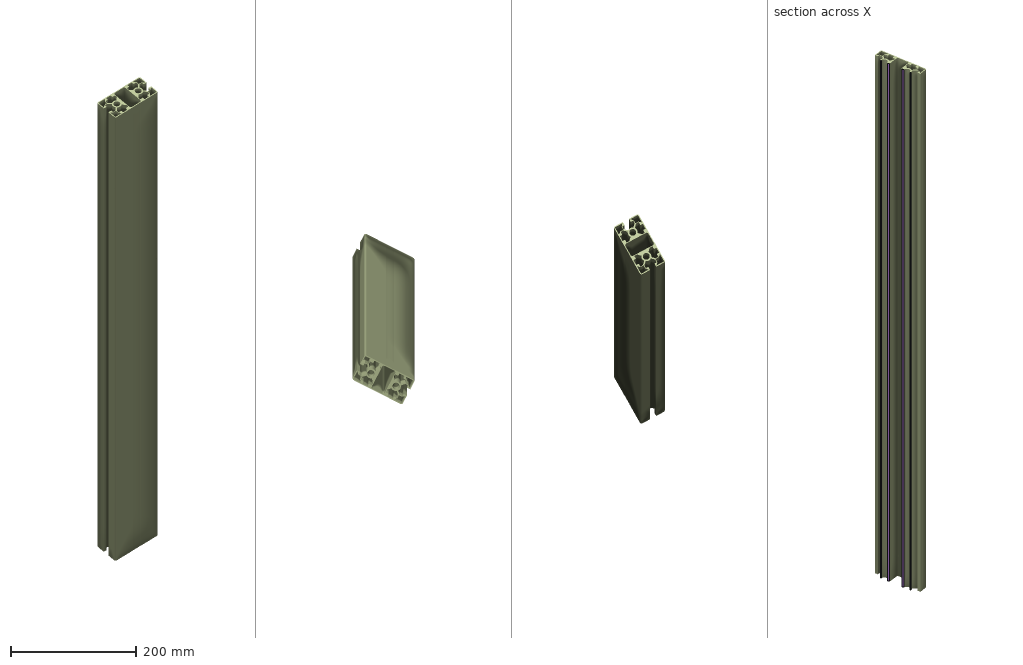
import cadquery as cq
import math

width = 45.0
depth = 90.0
length = 1000.0
corner_radius = 3.0

cell_offset = depth / 4
half_width = width / 2

outer_wall = 1.6
inner_wall = 1.0

core_radius = 8.0
bore_diameter = 11.0
arm_half_thickness = 1.2

slot_half = 10.0
mouth_half = 5.6
lip_thickness = 6.0

notch_half = 4.6

hollow_tip = 7.2

center_corner_radius = 3.0

band_half = 7.5
band_depth = 0.2


def prism(points):
    return cq.Workplane("XY").polyline(points).close().extrude(length)


def mirrored_across_y(points):
    """The points mirrored to -X, in reverse order."""
    return [(-x, y) for x, y in reversed(points)]


def mirrored_across_x(points):
    """The points mirrored to -Y, in reverse order."""
    return [(x, -y) for x, y in reversed(points)]


def end_slot():
    """T-slot open toward +Y, running in to the cell's centre before the core is left standing."""
    roof = half_width - lip_thickness
    half_outline = [
        (mouth_half, half_width),
        (mouth_half, roof),
        (slot_half, roof),
        (slot_half, slot_half),
    ]
    return prism(half_outline + [(0, 0)] + mirrored_across_y(half_outline))


def side_chamber():
    """Closed chamber on the +X side, with a notch in the middle of its outer wall."""
    wall = half_width - lip_thickness
    notch_floor = half_width - outer_wall
    half_outline = [
        (slot_half, slot_half),
        (wall, slot_half),
        (wall, notch_half),
        (notch_floor, notch_half),
    ]
    return prism(half_outline + mirrored_across_x(half_outline) + [(0, 0)])


def corner_hollow():
    """Hollow in the +X +Y corner, symmetric about the cell's diagonal."""
    near = slot_half + inner_wall
    far = half_width - outer_wall
    taper_start = half_width - lip_thickness
    return prism(
        [
            (near, near),
            (taper_start, near),
            (far, hollow_tip),
            (far, far),
            (hollow_tip, far),
            (near, taper_start),
        ]
    )


def core():
    """Round core and its diagonal arms, which reach the corners of the voids around it."""
    reach = slot_half * math.sqrt(2) + inner_wall
    arm = cq.Workplane("XY").rect(2 * reach, 2 * arm_half_thickness).extrude(length)
    hub = cq.Workplane("XY").circle(core_radius).extrude(length)
    for angle in (45, 135):
        hub = hub.union(arm.rotate((0, 0, 0), (0, 0, 1), angle))
    return hub


def cell_voids():
    """Voids of the cell whose slot opens toward +Y, centred on the origin."""
    side = side_chamber()
    corner = corner_hollow()
    voids = end_slot().union(side).union(side.mirror("YZ")).cut(core())
    voids = voids.union(corner).union(corner.mirror("YZ"))
    bore = cq.Workplane("XY").circle(bore_diameter / 2).extrude(length)
    return voids.union(bore)


def center_chamber():
    size_x = 2 * (half_width - outer_wall)
    size_y = 2 * (cell_offset - slot_half - inner_wall)
    chamber = cq.Workplane("XY").rect(size_x, size_y).extrude(length)
    return chamber.edges("|Z").fillet(center_corner_radius)


body = cq.Workplane("XY").rect(width, depth).extrude(length).edges("|Z").fillet(corner_radius)

upper_voids = cell_voids().translate((0, cell_offset, 0))
body = body.cut(upper_voids).cut(upper_voids.mirror("XZ")).cut(center_chamber())

band = cq.Workplane("XY").rect(2 * band_depth, 2 * band_half).extrude(length)
for side_x in (-half_width, half_width):
    body = body.cut(band.translate((side_x, 0, 0)))

result = body